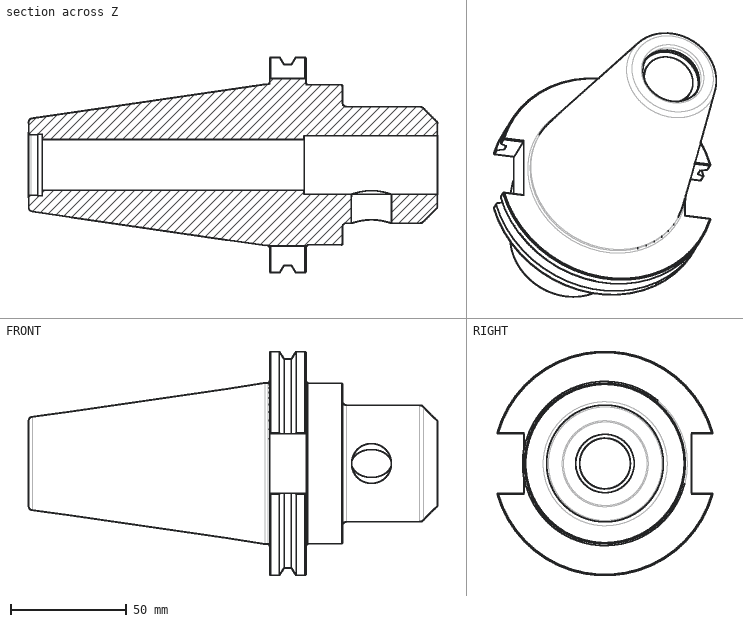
import cadquery as cq
import math


gauge_diameter = 69.85
taper_ratio = 7 / 24
taper_length = 101.6
shank_neck_diameter = 70.2
small_end_radius = 2.0

flange_diameter = 97.5
flange_start = 3.175
flange_end = 19.05
flange_edge_chamfer = 0.5
flange_root_radius = 0.8
groove_center = 11.1
groove_floor_diameter = 91.1
groove_floor_width = 3.2
groove_half_angle = 32.0
keyway_width = 25.7
shallow_keyway_floor_y = 37.7
deep_keyway_floor_y = 35.3

collar_diameter = 69.85
collar_end = 35.0
collar_chamfer = 0.5
nose_diameter = 50.8
nose_end = 76.22
nose_root_radius = 1.6
nose_chamfer_length = 6.9
nose_blend_radius = 2.4
nose_end_radius = 0.8

through_diameter = 21.97
tool_bore_diameter = 25.4
tool_bore_depth = 58.0
counterbore_diameter = 26.2
counterbore_mouth_radius = 1.0
undercut_diameter = 26.7
undercut_start_depth = 4.0
counterbore_depth = 6.0

screw_diameter = 17.32
screw_center = 47.5
drill_point_angle = 118.0

taper_start = -taper_length
small_end_diameter = gauge_diameter - taper_ratio * taper_length


def cylinder(x_start, x_end, diameter):
    """Solid cylinder on the X axis."""
    return cq.Workplane("YZ", origin=(x_start, 0, 0)).circle(diameter / 2).extrude(x_end - x_start)


def revolve_profile(points):
    """Turn a closed (x, radius) outline about the X axis."""
    return cq.Workplane("XY").polyline(points).close().revolve(360, (0, 0, 0), (1, 0, 0))


def fillet_middle_offset(radius):
    """Distance from either wall of a square corner to the middle of its fillet arc."""
    return radius * (1 - math.cos(math.radians(45)))


def root_fillet(face_x, direction, diameter, radius):
    """Ring filling the inner corner between a shaft and a face it leaves in the given X direction."""
    shaft_radius = diameter / 2
    arc_offset = fillet_middle_offset(radius)
    return (
        cq.Workplane("XY")
        .moveTo(face_x, 0)
        .lineTo(face_x, shaft_radius + radius)
        .threePointArc(
            (face_x + direction * arc_offset, shaft_radius + arc_offset),
            (face_x + direction * radius, shaft_radius),
        )
        .lineTo(face_x + direction * radius, 0)
        .close()
        .revolve(360, (0, 0, 0), (1, 0, 0))
    )


def make_shank():
    taper_end = (shank_neck_diameter - gauge_diameter) / taper_ratio
    shank = revolve_profile([
        (taper_start, 0),
        (taper_start, small_end_diameter / 2),
        (taper_end, shank_neck_diameter / 2),
        (flange_start, shank_neck_diameter / 2),
        (flange_start, 0),
    ])
    shank = shank.faces("<X").edges().fillet(small_end_radius)
    return shank.union(root_fillet(flange_start, -1, shank_neck_diameter, flange_root_radius))


def make_flange():
    outer_radius = flange_diameter / 2
    flange_width = flange_end - flange_start
    flange_middle = (flange_start + flange_end) / 2
    flange = cylinder(flange_start, flange_end, flange_diameter)
    for side, floor_y in ((1, shallow_keyway_floor_y), (-1, deep_keyway_floor_y)):
        depth = outer_radius - floor_y
        keyway = cq.Workplane("XY").box(flange_width, depth, keyway_width)
        flange = flange.cut(keyway.translate((flange_middle, side * (floor_y + depth / 2), 0)))

    widest_floor_y = max(shallow_keyway_floor_y, deep_keyway_floor_y)
    mouth_limit_y = widest_floor_y + flange_edge_chamfer
    mouth_edges = flange.edges("|X").filter(lambda edge: abs(edge.Center().y) > mouth_limit_y)
    flange = flange.edges("%CIRCLE or |Y").add(mouth_edges).chamfer(flange_edge_chamfer)

    floor_radius = groove_floor_diameter / 2
    half_floor = groove_floor_width / 2
    half_crest = half_floor + (outer_radius - floor_radius) * math.tan(math.radians(groove_half_angle))
    groove = revolve_profile([
        (groove_center - half_crest, outer_radius),
        (groove_center - half_floor, floor_radius),
        (groove_center + half_floor, floor_radius),
        (groove_center + half_crest, outer_radius),
    ])
    return flange.cut(groove)


def make_collar_and_nose():
    collar = cylinder(flange_start, collar_end, collar_diameter)
    collar = collar.faces(">X").edges().chamfer(collar_chamfer)
    nose = cylinder(flange_start, nose_end, nose_diameter)
    nose = nose.faces(">X").edges().chamfer(nose_chamfer_length)
    nose = nose.faces(">X").edges().fillet(nose_end_radius)
    nose = nose.faces("%CYLINDER").edges(">X").fillet(nose_blend_radius)
    body = collar.union(nose)
    body = body.union(root_fillet(flange_end, 1, collar_diameter, flange_root_radius))
    return body.union(root_fillet(collar_end, 1, nose_diameter, nose_root_radius))


def make_axial_bores():
    """Through bore with a rounded, undercut counterbore at the small end and the tool bore at the nose."""
    counterbore_radius = counterbore_diameter / 2
    undercut_start = taper_start + undercut_start_depth
    counterbore_end = taper_start + counterbore_depth
    tool_bore_start = nose_end - tool_bore_depth
    arc_offset = fillet_middle_offset(counterbore_mouth_radius)
    return (
        cq.Workplane("XY")
        .moveTo(taper_start, 0)
        .lineTo(taper_start, counterbore_radius + counterbore_mouth_radius)
        .threePointArc(
            (taper_start + arc_offset, counterbore_radius + arc_offset),
            (taper_start + counterbore_mouth_radius, counterbore_radius),
        )
        .lineTo(undercut_start, counterbore_radius)
        .lineTo(undercut_start, undercut_diameter / 2)
        .lineTo(counterbore_end, undercut_diameter / 2)
        .lineTo(counterbore_end, through_diameter / 2)
        .lineTo(tool_bore_start, through_diameter / 2)
        .lineTo(tool_bore_start, tool_bore_diameter / 2)
        .lineTo(nose_end, tool_bore_diameter / 2)
        .lineTo(nose_end, 0)
        .close()
        .revolve(360, (0, 0, 0), (1, 0, 0))
    )


def make_screw_hole():
    """Blind drilled hole from the -Y side whose full diameter ends level with the tool bore wall."""
    radius = screw_diameter / 2
    point_length = radius / math.tan(math.radians(drill_point_angle / 2))
    shoulder_y = -tool_bore_diameter / 2
    return (
        cq.Workplane("XY")
        .polyline([
            (screw_center, -nose_diameter / 2),
            (screw_center + radius, -nose_diameter / 2),
            (screw_center + radius, shoulder_y),
            (screw_center, shoulder_y + point_length),
        ])
        .close()
        .revolve(360, (screw_center, 0, 0), (screw_center, 1, 0))
    )


body = make_shank().union(make_flange()).union(make_collar_and_nose())
result = body.cut(make_axial_bores()).cut(make_screw_hole())